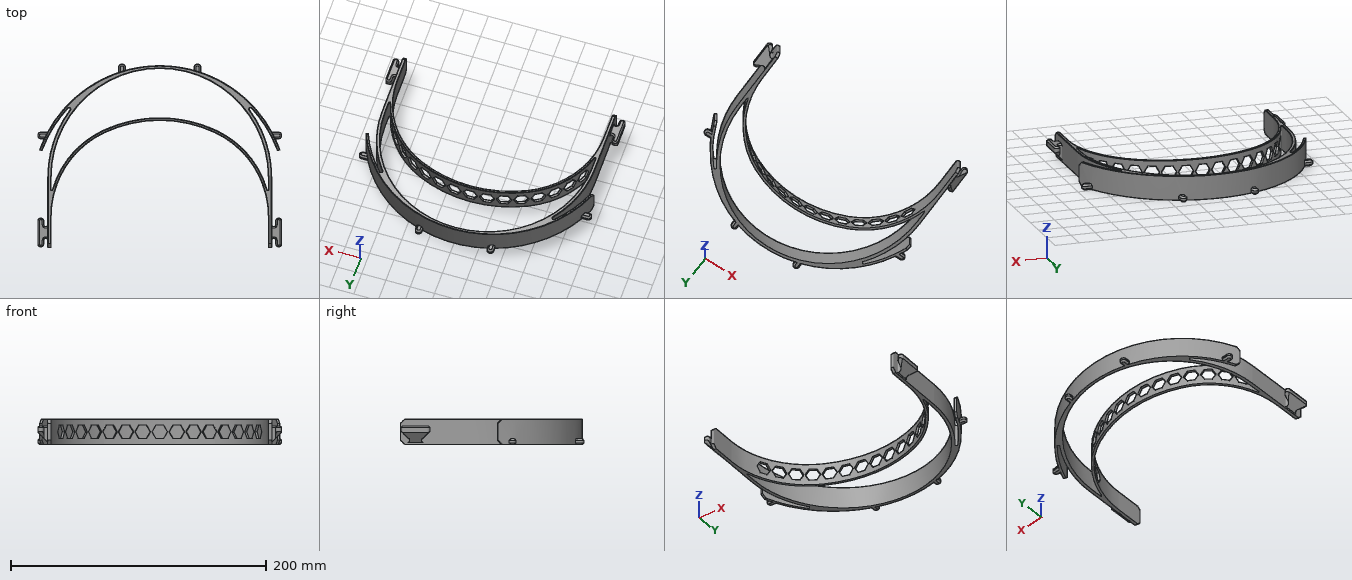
import cadquery as cq
import math

HEIGHT = 20.0
ARM_LENGTH = 55.3
BAND_INNER_R = 85.0
BAND_THICKNESS = 2.7
BAND_OUTER_R = BAND_INNER_R + BAND_THICKNESS
BAND_CENTER = (0.0, ARM_LENGTH)
ARM_END_FILLET = 0.5
RIM_CHAMFER = 0.4
END_CHAMFER = 3.4

CROWN_THICKNESS = 2.2
VISOR_OUTER_R = 100.0
VISOR_THICKNESS = 2.0
VISOR_INNER_R = VISOR_OUTER_R - VISOR_THICKNESS
VISOR_TOP_Y = ARM_LENGTH + BAND_INNER_R + CROWN_THICKNESS
VISOR_CENTER = (0.0, VISOR_TOP_Y - VISOR_OUTER_R)
VISOR_END_ANGLE = 160.1
SLOT_TIP_R = 1.05

HEADBAND_THICKNESS = 2.0
HEADBAND_TOP_Y = 101.6
HEADBAND_FRONT_R = 102.2
HEADBAND_SEAM_X = 43.5
HEADBAND_CENTER = (0.0, HEADBAND_TOP_Y - HEADBAND_THICKNESS - HEADBAND_FRONT_R)
GAP_TIP_R = 0.5

HEX_ACROSS_FLATS = 10.5
HEX_PITCH = 13.3
HEX_PER_SIDE = 7
HEX_CUT_DEPTH = 4.0 * HEADBAND_THICKNESS

OVERALL_WIDTH = 191.02
HALF_WIDTH = OVERALL_WIDTH / 2
HOOK_CENTER_Y = 11.85
HOOK_BAR_LENGTH = 22.5
HOOK_BAR_WIDTH = 4.7
HOOK_STEM_WIDTH = 9.4
HOOK_BAR_FILLET = 1.5
HOOK_ROOT_FILLET = 1.2
HOOK_TOP_Z = 14.6
HOOK_BOTTOM_Z = 1.8
HOOK_CHAMFER = 1.2
HOOK_END_TAPER_Z = 10.4

PIN_WIDTH = 5.3
PIN_HEIGHT = 4.7
PIN_CHAMFER = 1.4
PIN_ROOT_LENGTH = 9.0
FRONT_PIN_X = -29.55
FRONT_PIN_TIP_Y = 143.77
SIDE_PIN_Y = 87.8

OVERLAP = 1.0


def polar(center, radius, angle):
    """Point at the given radius and angle (degrees) around a center."""
    turn = math.radians(angle)
    return (center[0] + radius * math.cos(turn), center[1] + radius * math.sin(turn))


def direction(start, end):
    """Angle in degrees of the line from start to end, from 0 to 360."""
    return math.degrees(math.atan2(end[1] - start[1], end[0] - start[0])) % 360


def arc(outline, center, radius, start_angle, end_angle):
    """Continue an outline along an arc that begins at its current point."""
    middle = polar(center, radius, (start_angle + end_angle) / 2)
    return outline.threePointArc(middle, polar(center, radius, end_angle))


def end_chamfer_cutter(end_point, outward_angle):
    """Two triangular prisms that bevel the upper and lower corners of a strip end."""
    turn = math.radians(outward_angle)
    outward = (math.cos(turn), math.sin(turn), 0)
    across = (math.sin(turn), -math.cos(turn), 0)
    plane = cq.Plane(origin=(end_point[0], end_point[1], 0), xDir=outward, normal=across)
    reach = END_CHAMFER + OVERLAP
    lower = [(-reach, -OVERLAP), (OVERLAP, -OVERLAP), (OVERLAP, reach)]
    upper = [(x, HEIGHT - z) for x, z in lower]
    half_depth = 2 * BAND_THICKNESS
    cutter = cq.Workplane(plane).polyline(lower).close().extrude(half_depth, both=True)
    return cutter.union(cq.Workplane(plane).polyline(upper).close().extrude(half_depth, both=True))


def frame_half():
    """Left arm, left half of the band and left half of the visor strip."""
    visor_reach = VISOR_INNER_R - SLOT_TIP_R
    band_reach = BAND_OUTER_R + SLOT_TIP_R
    center_gap = BAND_CENTER[1] - VISOR_CENTER[1]
    sine = (visor_reach**2 + center_gap**2 - band_reach**2) / (2 * visor_reach * center_gap)
    visor_angle = 180 - math.degrees(math.asin(sine))
    tip_center = polar(VISOR_CENTER, visor_reach, visor_angle)
    band_angle = direction(BAND_CENTER, tip_center)

    outline = cq.Workplane("XY").moveTo(-BAND_OUTER_R, 0).lineTo(-BAND_OUTER_R, ARM_LENGTH)
    outline = arc(outline, BAND_CENTER, BAND_OUTER_R, 180, band_angle)
    outline = arc(outline, tip_center, SLOT_TIP_R, band_angle - 180, visor_angle)
    outline = arc(outline, VISOR_CENTER, VISOR_INNER_R, visor_angle, VISOR_END_ANGLE)
    outline = outline.lineTo(*polar(VISOR_CENTER, VISOR_OUTER_R, VISOR_END_ANGLE))
    outline = arc(outline, VISOR_CENTER, VISOR_OUTER_R, VISOR_END_ANGLE, 90)
    outline = outline.lineTo(0, ARM_LENGTH + BAND_INNER_R)
    outline = arc(outline, BAND_CENTER, BAND_INNER_R, 90, 180)
    outline = outline.lineTo(-BAND_INNER_R, 0).close()

    return outline.extrude(HEIGHT).edges("|Z and <Y").fillet(ARM_END_FILLET)


def strip_end_cutters():
    """Bevels for the left arm end and the left visor strip end."""
    visor_end = polar(VISOR_CENTER, VISOR_OUTER_R, VISOR_END_ANGLE)
    arm_cutter = end_chamfer_cutter((-BAND_OUTER_R, 0), -90)
    return arm_cutter.union(end_chamfer_cutter(visor_end, VISOR_END_ANGLE + 90))


SEAM_SINE = HEADBAND_SEAM_X / HEADBAND_FRONT_R
SEAM_ANGLE = 90 + math.degrees(math.asin(SEAM_SINE))
HEADBAND_SIDE_R = (BAND_INNER_R - HEADBAND_SEAM_X) / (1 - SEAM_SINE)
HEADBAND_SIDE_CENTER = polar(HEADBAND_CENTER, HEADBAND_FRONT_R - HEADBAND_SIDE_R, SEAM_ANGLE)


def hex_window(center, radius, angle):
    """Hexagonal prism through the headband along the radius at the given angle."""
    turn = math.radians(angle)
    origin = polar(center, radius - HEX_CUT_DEPTH / 2, angle)
    plane = cq.Plane(
        origin=(origin[0], origin[1], HEIGHT / 2),
        xDir=(-math.sin(turn), math.cos(turn), 0),
        normal=(math.cos(turn), math.sin(turn), 0),
    )
    across_corners = HEX_ACROSS_FLATS / math.cos(math.radians(30))
    return cq.Workplane(plane).polygon(6, across_corners).extrude(HEX_CUT_DEPTH)


def headband_front():
    """Front arc of the headband, from seam to seam."""
    outer_r = HEADBAND_FRONT_R + HEADBAND_THICKNESS
    outline = cq.Workplane("XY").moveTo(*polar(HEADBAND_CENTER, outer_r, 180 - SEAM_ANGLE))
    outline = arc(outline, HEADBAND_CENTER, outer_r, 180 - SEAM_ANGLE, SEAM_ANGLE)
    outline = outline.lineTo(*polar(HEADBAND_CENTER, HEADBAND_FRONT_R, SEAM_ANGLE))
    outline = arc(outline, HEADBAND_CENTER, HEADBAND_FRONT_R, SEAM_ANGLE, 180 - SEAM_ANGLE)
    return outline.close().extrude(HEIGHT)


def headband_side():
    """Left side arc of the headband, with the solid wedge where it runs into the arm."""
    outer_r = HEADBAND_SIDE_R + HEADBAND_THICKNESS
    center = HEADBAND_SIDE_CENTER

    tip_x = GAP_TIP_R - BAND_INNER_R
    tip_rise = math.sqrt((outer_r + GAP_TIP_R) ** 2 - (tip_x - center[0]) ** 2)
    tip_center = (tip_x, center[1] + tip_rise)
    tip_angle = direction(center, tip_center)
    arm_center_x = -BAND_INNER_R - BAND_THICKNESS / 2

    outline = cq.Workplane("XY").moveTo(*polar(center, outer_r, SEAM_ANGLE))
    outline = arc(outline, center, outer_r, SEAM_ANGLE, tip_angle)
    outline = arc(outline, tip_center, GAP_TIP_R, tip_angle + 180, 180)
    outline = outline.lineTo(arm_center_x, tip_center[1]).lineTo(arm_center_x, center[1])
    outline = outline.lineTo(-BAND_INNER_R, center[1])
    outline = arc(outline, center, HEADBAND_SIDE_R, 180, SEAM_ANGLE)
    return outline.close().extrude(HEIGHT)


def hex_windows():
    """Windows of the whole headband, spaced evenly along its inner face."""
    front_length = HEADBAND_FRONT_R * math.radians(SEAM_ANGLE - 90)
    windows = hex_window(HEADBAND_CENTER, HEADBAND_FRONT_R, 90)
    for index in range(1, HEX_PER_SIDE + 1):
        distance = index * HEX_PITCH
        if distance < front_length:
            angle = 90 + math.degrees(distance / HEADBAND_FRONT_R)
            window = hex_window(HEADBAND_CENTER, HEADBAND_FRONT_R, angle)
        else:
            angle = SEAM_ANGLE + math.degrees((distance - front_length) / HEADBAND_SIDE_R)
            window = hex_window(HEADBAND_SIDE_CENTER, HEADBAND_SIDE_R, angle)
        windows = windows.add(window).add(window.mirror("YZ"))
    return windows


def strap_hook():
    """T-shaped hook on the left arm, bevelled on top and tapered at 45 degrees underneath."""
    bar_r = HOOK_BAR_WIDTH / 2
    bar_x = -HALF_WIDTH + bar_r
    bar_inner_x = -HALF_WIDTH + HOOK_BAR_WIDTH
    bar_straight = HOOK_BAR_LENGTH / 2 - bar_r
    half_stem = HOOK_STEM_WIDTH / 2
    half_root = half_stem + HOOK_ROOT_FILLET
    root_x = -BAND_OUTER_R + BAND_THICKNESS / 2

    bar_fillet_center = (bar_inner_x + HOOK_BAR_FILLET, half_stem + HOOK_BAR_FILLET)
    root_fillet_center = (-BAND_OUTER_R - HOOK_ROOT_FILLET, half_root)
    outline = cq.Workplane("XY", origin=(0, HOOK_CENTER_Y, HOOK_BOTTOM_Z)).moveTo(-HALF_WIDTH, 0)
    outline = outline.lineTo(-HALF_WIDTH, bar_straight)
    outline = arc(outline, (bar_x, bar_straight), bar_r, 180, 0)
    outline = outline.lineTo(bar_inner_x, bar_fillet_center[1])
    outline = arc(outline, bar_fillet_center, HOOK_BAR_FILLET, 180, 270)
    outline = outline.lineTo(root_fillet_center[0], half_stem)
    outline = arc(outline, root_fillet_center, HOOK_ROOT_FILLET, -90, 0)
    outline = outline.lineTo(root_x, half_root).lineTo(root_x, 0)
    hook = outline.mirrorX().extrude(HOOK_TOP_Z - HOOK_BOTTOM_Z)
    hook = hook.faces(">Z").edges("not >X").chamfer(HOOK_CHAMFER)

    outer_slope = (
        cq.Workplane("XZ")
        .moveTo(-BAND_OUTER_R + OVERLAP, HOOK_BOTTOM_Z - OVERLAP)
        .lineTo(-HALF_WIDTH - OVERLAP, HOOK_BOTTOM_Z + HALF_WIDTH - BAND_OUTER_R + OVERLAP)
        .lineTo(-HALF_WIDTH - OVERLAP, HOOK_BOTTOM_Z - OVERLAP)
        .close()
        .extrude(HALF_WIDTH, both=True)
    )
    hook = hook.cut(outer_slope)

    half_bar = HOOK_BAR_LENGTH / 2
    taper_base_z = HOOK_END_TAPER_Z - (half_bar - half_root)
    side_profile = (
        cq.Workplane("YZ", origin=(-HALF_WIDTH, HOOK_CENTER_Y, 0))
        .polyline(
            [
                (-half_root, 0),
                (half_root, 0),
                (half_root, taper_base_z),
                (half_bar, HOOK_END_TAPER_Z),
                (half_bar, HEIGHT),
                (-half_bar, HEIGHT),
                (-half_bar, HOOK_END_TAPER_Z),
                (-half_root, taper_base_z),
            ]
        )
        .close()
        .extrude(HALF_WIDTH)
    )
    return hook.intersect(side_profile)


def shield_pin(tip, outward_angle):
    """Round-nosed pin with bevelled rims, lying on the bottom plane, nose at the tip point."""
    nose_r = PIN_WIDTH / 2
    outline = cq.Workplane("XY").moveTo(-PIN_ROOT_LENGTH, -nose_r).lineTo(-nose_r, -nose_r)
    outline = arc(outline, (-nose_r, 0), nose_r, -90, 90)
    pin = outline.lineTo(-PIN_ROOT_LENGTH, nose_r).close().extrude(PIN_HEIGHT)
    pin = pin.faces("<Z or >Z").edges("not <X").chamfer(PIN_CHAMFER)
    return pin.rotate((0, 0, 0), (0, 0, 1), outward_angle).translate((tip[0], tip[1], 0))


def shield_pins():
    """Front and side pins of the left half, kept outside the visor strip's inner face."""
    pins = shield_pin((FRONT_PIN_X, FRONT_PIN_TIP_Y), 90)
    pins = pins.union(shield_pin((-HALF_WIDTH, SIDE_PIN_Y), 180))
    strip_middle_r = VISOR_OUTER_R - VISOR_THICKNESS / 2
    inside = cq.Workplane("XY").center(*VISOR_CENTER).circle(strip_middle_r).extrude(HEIGHT)
    return pins.cut(inside)


def with_both_sides(body, left_part):
    """Join a left part and its mirror image to the body."""
    return body.union(left_part).union(left_part.mirror("YZ"))


strips = with_both_sides(headband_front(), headband_side())
strips = with_both_sides(strips, frame_half())
strips = strips.faces(">Z").edges().chamfer(RIM_CHAMFER)
end_cutters = strip_end_cutters()
strips = strips.cut(end_cutters).cut(end_cutters.mirror("YZ"))
for window in hex_windows().vals():
    strips = strips.cut(cq.Workplane(window))

result = with_both_sides(strips, strap_hook())
result = with_both_sides(result, shield_pins())